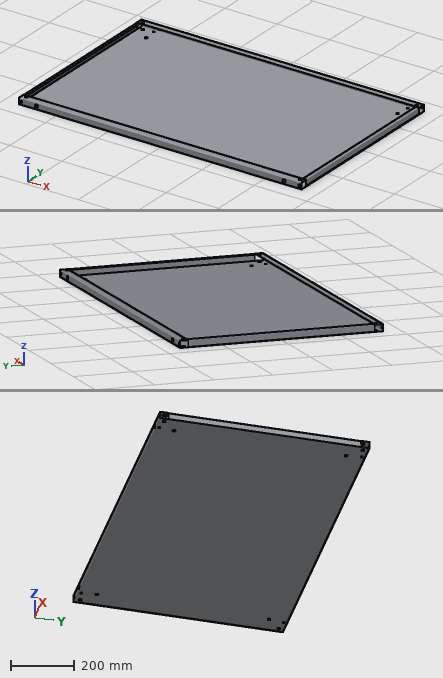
import cadquery as cq

length = 1083.0
width = 686.0
height = 25.0

sheet = 1.6
bend_radius = 2.0
inner_bend_radius = bend_radius - sheet
long_lip = 27.0
side_lip = 13.0
corner_gap = 1.0

lip_hole_diameter = 10.0
lip_hole_from_end = 16.0
lip_hole_from_side = 18.0
floor_hole_diameter = 9.0
floor_hole_from_end = 60.0
floor_hole_from_side = 62.0
covered_hole_diameter = 6.0
covered_hole_from_end = 54.0
covered_hole_from_side = 12.0
wall_hole_diameter = 12.0
wall_hole_from_end = 67.0
end_hole_diameter = 6.0
end_hole_from_end = 9.0


def rounded_bar(run, span, depth, radius):
    """Bar along X with rounded long edges, centred at mid-height of the tray."""
    return (
        cq.Workplane("XY")
        .box(run, span, depth)
        .edges("|X")
        .fillet(radius)
        .translate((0, 0, height / 2))
    )


def folded_tray(run, span, lip):
    """Floor along X with two opposite walls and inward lips, open between the lips."""
    outer = rounded_bar(run, span, height, bend_radius)
    inner = rounded_bar(run, span - 2 * sheet, height - 2 * sheet, inner_bend_radius)
    opening = cq.Workplane("XY").box(run, span - 2 * lip, height).translate((0, 0, height))
    return outer.cut(inner).cut(opening)


def corner_holes(diameter, from_end, from_side, depth):
    """Four vertical drills up from the underside, one near each corner."""
    return (
        cq.Workplane("XY")
        .rect(length - 2 * from_end, width - 2 * from_side, forConstruction=True)
        .vertices()
        .circle(diameter / 2)
        .extrude(depth)
    )


def wall_holes(diameter, from_end):
    """Two drills through both long walls at mid-height, one near each end."""
    offset = length / 2 - from_end
    return (
        cq.Workplane("XZ")
        .center(0, height / 2)
        .pushPoints([(-offset, 0), (offset, 0)])
        .circle(diameter / 2)
        .extrude(width / 2, both=True)
    )


long_channels = folded_tray(length, width, long_lip)
side_run = width - 2 * (long_lip + corner_gap)
side_flanges = folded_tray(side_run, length, side_lip).rotate((0, 0, 0), (0, 0, 1), 90)
tray = long_channels.union(side_flanges)

tray = tray.cut(corner_holes(lip_hole_diameter, lip_hole_from_end, lip_hole_from_side, height))
tray = tray.cut(corner_holes(floor_hole_diameter, floor_hole_from_end, floor_hole_from_side, sheet))
tray = tray.cut(corner_holes(covered_hole_diameter, covered_hole_from_end, covered_hole_from_side, sheet))

tray = tray.cut(wall_holes(wall_hole_diameter, wall_hole_from_end))
tray = tray.cut(wall_holes(end_hole_diameter, end_hole_from_end))

result = tray